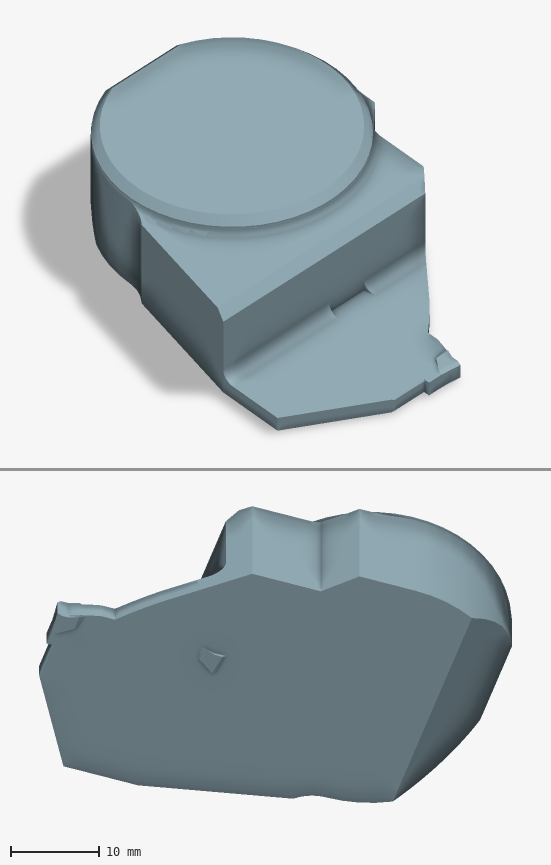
import cadquery as cq
import math

body_radius = 16.0
cap_radius = 15.95
flat_x = -14.95
total_height = 14.05
cap_chamfer = 1.0
cap_flare = 0.85
base_bevel_height = 7.6

block_height = 12.0
block_face_x = 20.75
block_chamfer = 1.2
block_back_y = 12.55
block_back_end_x = 18.25
front_y = -21.05
neck_radius = 4.95
neck_end_x = 3.4

plate_thickness = 1.95
plate_fillet = 1.5
plate_end_x = 36.45
plate_end_chamfer = 0.15
plate_corner_x = 29.65
plate_corner_y = -9.25
shoulder_x = 26.8
shoulder_y = 5.35
curve_mid_x = 28.9
curve_mid_y = 3.35
curve_end_x = 30.9

nose_x = 37.4
nose_y = 0.15
insert_end_x = 37.1
insert_middle_x = 27.35
insert_back_y = 1.25
insert_front_y = -4.5
back_curve_start_x = 32.45
back_curve_mid = (33.6, 1.0)
back_curve_end = (34.7, 0.7)
nose_notch_mid = (35.4, 0.4)
nose_notch_end_x = 36.0
nose_relief_y = -1.25
pad_rise = 0.3
pad_corner_y = -2.5
pad_ramp = 0.75
pad_top_inner = (34.9, 0.6)
pad_top_turn = (34.9, -1.25)
pad_top_outer_x = 36.6
pad_nose_inset = 0.4


def make_footprint():
    """Plan outline of the holder, extruded to its full height."""
    flat_half = math.sqrt(body_radius**2 - flat_x**2)
    corner_x = body_radius * math.tan(math.radians(22.5))
    facet_end_x = body_radius * math.sqrt(2) - block_back_y
    neck_angle = math.asin(neck_end_x / neck_radius)

    def neck_point(angle):
        drop = neck_radius * (1 - math.cos(angle))
        return (neck_radius * math.sin(angle), -body_radius - drop)

    half_way = math.radians(135)
    head_mid = (body_radius * math.cos(half_way), body_radius * math.sin(half_way))
    return (
        cq.Workplane("XY")
        .moveTo(flat_x, flat_half)
        .threePointArc(head_mid, (0, body_radius))
        .lineTo(corner_x, body_radius)
        .lineTo(facet_end_x, block_back_y)
        .lineTo(block_back_end_x, block_back_y)
        .lineTo(shoulder_x, shoulder_y)
        .threePointArc((curve_mid_x, curve_mid_y), (curve_end_x, insert_back_y))
        .lineTo(curve_end_x, insert_front_y)
        .lineTo(plate_end_x, insert_front_y)
        .lineTo(plate_end_x, plate_corner_y)
        .lineTo(plate_corner_x, front_y)
        .lineTo(block_face_x, front_y)
        .lineTo(*neck_point(neck_angle))
        .threePointArc(neck_point(neck_angle / 2), (0, -body_radius))
        .threePointArc((head_mid[0], -head_mid[1]), (flat_x, -flat_half))
        .close()
        .extrude(total_height)
    )


def make_side_profile():
    """Side outline of block and plate, spanning the whole width."""
    fillet_end_x = block_face_x + plate_fillet
    fillet_top_z = plate_thickness + plate_fillet
    sag = plate_fillet * (1 - math.sqrt(0.5))
    return (
        cq.Workplane("XZ", origin=(0, body_radius, 0))
        .moveTo(flat_x + base_bevel_height, 0)
        .lineTo(plate_end_x - plate_end_chamfer, 0)
        .lineTo(plate_end_x, plate_end_chamfer)
        .lineTo(plate_end_x, plate_thickness - plate_end_chamfer)
        .lineTo(plate_end_x - plate_end_chamfer, plate_thickness)
        .lineTo(fillet_end_x, plate_thickness)
        .threePointArc((block_face_x + sag, plate_thickness + sag), (block_face_x, fillet_top_z))
        .lineTo(block_face_x, block_height - block_chamfer)
        .lineTo(block_face_x - block_chamfer, block_height)
        .lineTo(flat_x, block_height)
        .lineTo(flat_x, base_bevel_height)
        .close()
        .extrude(body_radius - front_y)
    )


def make_cap():
    """Chamfered round cap with a concave flare onto the block top and one flat side."""
    sag = cap_flare * (1 - math.sqrt(0.5))
    edge_z = total_height - cap_chamfer
    round_cap = (
        cq.Workplane("XZ")
        .moveTo(0, block_height)
        .lineTo(cap_radius + cap_flare, block_height)
        .threePointArc(
            (cap_radius + sag, block_height + sag),
            (cap_radius, block_height + cap_flare),
        )
        .lineTo(cap_radius, edge_z)
        .lineTo(cap_radius - cap_chamfer, total_height)
        .lineTo(0, total_height)
        .close()
        .revolve(360, (0, 0, 0), (0, 1, 0))
    )
    reach = cap_radius + cap_flare
    flat_side = (
        cq.Workplane("XZ")
        .moveTo(flat_x, block_height)
        .lineTo(reach, block_height)
        .lineTo(reach, total_height)
        .lineTo(flat_x + cap_chamfer, total_height)
        .lineTo(flat_x, edge_z)
        .close()
        .extrude(reach, both=True)
    )
    return round_cap.intersect(flat_side)


def mirrored_pair(half):
    """Join a right-hand half to its mirror image about the insert middle."""
    other = half.mirror("YZ", (insert_middle_x, 0, 0))
    return half.union(other)


def make_insert_plan(height):
    """Insert outline without the raised pads, extruded from the base."""
    half = (
        cq.Workplane("XY")
        .moveTo(insert_middle_x, insert_back_y)
        .lineTo(back_curve_start_x, insert_back_y)
        .threePointArc(back_curve_mid, back_curve_end)
        .threePointArc(nose_notch_mid, (nose_notch_end_x, nose_y))
        .lineTo(nose_x, nose_y)
        .lineTo(insert_end_x, nose_relief_y)
        .lineTo(insert_end_x, insert_front_y)
        .lineTo(insert_middle_x, insert_front_y)
        .close()
        .extrude(height)
    )
    return mirrored_pair(half)


def make_pad():
    """Raised pad on the top face of the right-hand cutting end."""
    top = [
        pad_top_inner,
        (nose_notch_end_x, nose_y),
        (nose_x - pad_nose_inset, nose_y),
        (pad_top_outer_x, pad_corner_y),
        pad_top_turn,
    ]
    base = [
        (pad_top_inner[0] - pad_ramp, pad_top_inner[1]),
        (nose_notch_end_x, nose_y),
        (nose_x, nose_y),
        (insert_end_x, pad_corner_y),
        (pad_top_turn[0] - pad_ramp / 2, pad_top_turn[1]),
    ]
    return (
        cq.Workplane("XY", origin=(0, 0, plate_thickness))
        .polyline(base)
        .close()
        .workplane(offset=pad_rise)
        .polyline(top)
        .close()
        .loft(ruled=True)
    )


def make_insert():
    """Flat insert with raised pads above and below both cutting ends."""
    upper_pads = mirrored_pair(make_pad())
    lower_pads = upper_pads.mirror("XY", (0, 0, plate_thickness / 2))
    return make_insert_plan(plate_thickness).union(upper_pads).union(lower_pads)


def make_holder(insert):
    """Head, block and plate, with a pocket that fits the insert."""
    footprint = make_footprint()
    cap = make_cap().intersect(footprint)
    holder = footprint.intersect(make_side_profile()).union(cap)

    clearance = make_insert_plan(plate_thickness + plate_fillet).intersect(
        cq.Workplane("XY")
        .box(nose_x, body_radius - front_y, total_height, centered=(False, True, False))
        .translate((block_face_x, 0, 0))
    )
    return holder.cut(clearance).cut(insert)


insert = make_insert()
holder = make_holder(insert)

result = cq.Compound.makeCompound([holder.val(), insert.val()])